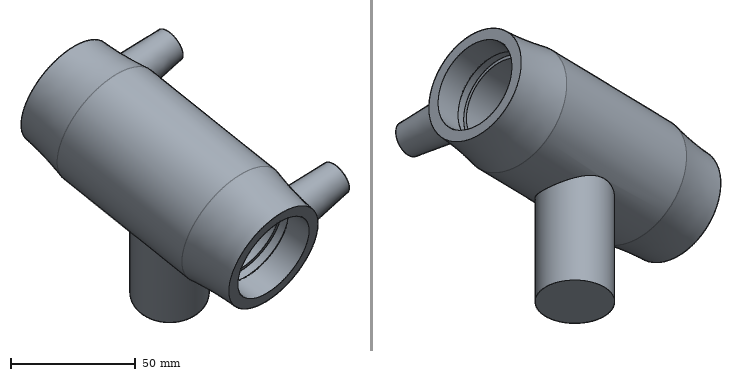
import cadquery as cq
import math

sleeve_length = 120.0
sleeve_radius = 56.0 / 2
end_radius = 50.0 / 2
neck_length = 24.0
neck_sag = 0.5
socket_radius = 40.0 / 2
bore_radius = 38.0 / 2
socket_depth = 16.0
groove_radius = 20.5
groove_width = 4.0

branch_radius = 32.0 / 2
branch_reach = 75.0

overall_width = 75.0
terminal_tip_radius = 15.0 / 2
terminal_reach = overall_width - sleeve_radius
terminal_offset = 48.0
terminal_root = 21.6
terminal_half_angle = 4.8

half_length = sleeve_length / 2
body_half_length = half_length - neck_length


def make_sleeve():
    """Revolve the outside: a cylinder with a concave neck at each end."""
    neck_middle = half_length - neck_length / 2
    middle_radius = (sleeve_radius + end_radius) / 2 - neck_sag
    return (
        cq.Workplane("XY")
        .moveTo(-half_length, 0)
        .lineTo(-half_length, end_radius)
        .threePointArc((-neck_middle, middle_radius), (-body_half_length, sleeve_radius))
        .lineTo(body_half_length, sleeve_radius)
        .threePointArc((neck_middle, middle_radius), (half_length, end_radius))
        .lineTo(half_length, 0)
        .close()
        .revolve(360, (0, 0, 0), (1, 0, 0))
    )


def make_x_cylinder(radius, start, length):
    return cq.Workplane("YZ", origin=(start, 0, 0)).circle(radius).extrude(length)


def make_bore():
    """Through bore with a wider socket at each end and a shallow groove at each socket floor."""
    bore = make_x_cylinder(bore_radius, -half_length, sleeve_length)
    socket_floor = half_length - socket_depth
    for socket_start in (-half_length, socket_floor):
        bore = bore.union(make_x_cylinder(socket_radius, socket_start, socket_depth))
    for groove_start in (-socket_floor - groove_width, socket_floor):
        bore = bore.union(make_x_cylinder(groove_radius, groove_start, groove_width))
    return bore


def make_branch():
    return cq.Workplane("XY").circle(branch_radius).extrude(-branch_reach)


def make_terminal(x):
    """Cone frustum rooted in the sleeve wall and narrowing towards its tip."""
    length = terminal_reach - terminal_root
    root_radius = terminal_tip_radius + length * math.tan(math.radians(terminal_half_angle))
    frustum = cq.Solid.makeCone(
        root_radius,
        terminal_tip_radius,
        length,
        pnt=cq.Vector(x, terminal_root, 0),
        dir=cq.Vector(0, 1, 0),
    )
    return cq.Workplane(obj=frustum)


result = make_sleeve().union(make_branch())
for terminal_x in (-terminal_offset, terminal_offset):
    result = result.union(make_terminal(terminal_x))
result = result.cut(make_bore())